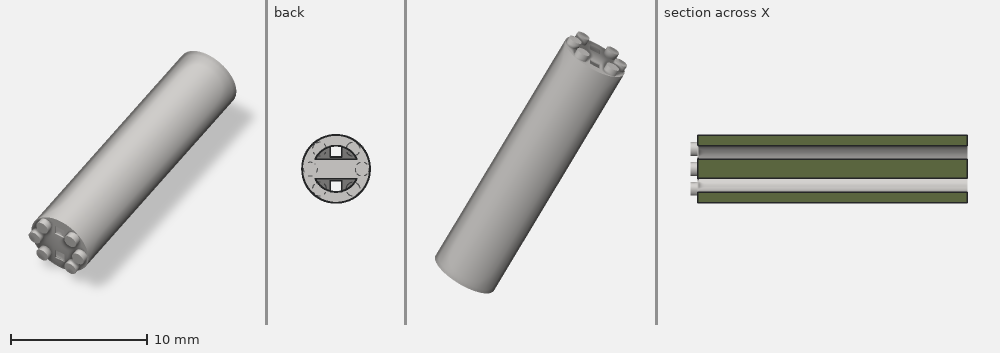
import cadquery as cq

total_length = 20.32
body_diameter = 5.0
bore_diameter = 3.37
end_wall_thickness = 0.1
web_thickness = 1.42

pin_diameter = 1.02
pin_height = 0.5
side_pin_spacing = 3.8
pair_spacing_x = 2.45
pair_spacing_z = 2.93

window_size = 0.81
window_spacing = 2.58

body_length = total_length - pin_height

wall_face = cq.Workplane("XZ")

body = wall_face.circle(body_diameter / 2).extrude(-body_length)
bore_length = body_length - end_wall_thickness
bore_start = wall_face.workplane(offset=-end_wall_thickness)
bore = bore_start.circle(bore_diameter / 2).extrude(-bore_length)

web = bore_start.rect(bore_diameter, web_thickness).extrude(-bore_length)
channels = bore.cut(web)

window_centres = [(0, side * window_spacing / 2) for side in (-1, 1)]
windows = (
    wall_face.pushPoints(window_centres)
    .rect(window_size, window_size)
    .extrude(-end_wall_thickness)
)

pin_centres = []
for x_side in (-1, 1):
    pin_centres.append((x_side * side_pin_spacing / 2, 0))
    for z_side in (-1, 1):
        pin_centres.append((x_side * pair_spacing_x / 2, z_side * pair_spacing_z / 2))
pins = wall_face.pushPoints(pin_centres).circle(pin_diameter / 2).extrude(pin_height)

result = body.cut(channels).cut(windows).union(pins)